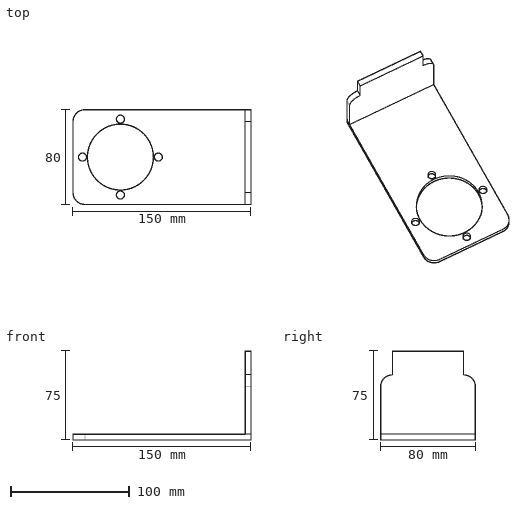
import cadquery as cq

length = 150.0
width = 80.0
height = 75.0
thickness = 5.0
corner_radius = 10.0

opening_diameter = 55.4
opening_x = width / 2
screw_hole_diameter = 6.6
screw_circle_radius = 32.0
screw_hole_count = 4

shoulder_height = 55.0
tab_width = width - 2 * corner_radius


def make_base_plate():
    """Flat plate with two rounded corners at its free end, drilled through."""
    plate = cq.Workplane("XY").box(length, width, thickness, centered=(False, True, False))
    plate = plate.edges("|Z and <X").fillet(corner_radius)
    opening = cq.Workplane("XY").center(opening_x, 0).circle(opening_diameter / 2).extrude(thickness)
    screw_holes = (
        cq.Workplane("XY")
        .center(opening_x, 0)
        .polarArray(screw_circle_radius, 0, 360, screw_hole_count)
        .circle(screw_hole_diameter / 2)
        .extrude(thickness)
    )
    return plate.cut(opening).cut(screw_holes)


def make_end_wall():
    """Upright wall standing on the plate, flush with its far end."""
    wall_x = length - thickness
    shoulders = (
        cq.Workplane("XY")
        .box(thickness, width, shoulder_height - thickness, centered=(False, True, False))
        .edges("|X and >Z")
        .fillet(corner_radius)
    )
    tab = cq.Workplane("XY").box(thickness, tab_width, height - thickness, centered=(False, True, False))
    return shoulders.union(tab).translate((wall_x, 0, thickness))


base_plate = make_base_plate()
end_wall = make_end_wall()

result = cq.Compound.makeCompound([base_plate.solids().val(), end_wall.solids().val()])